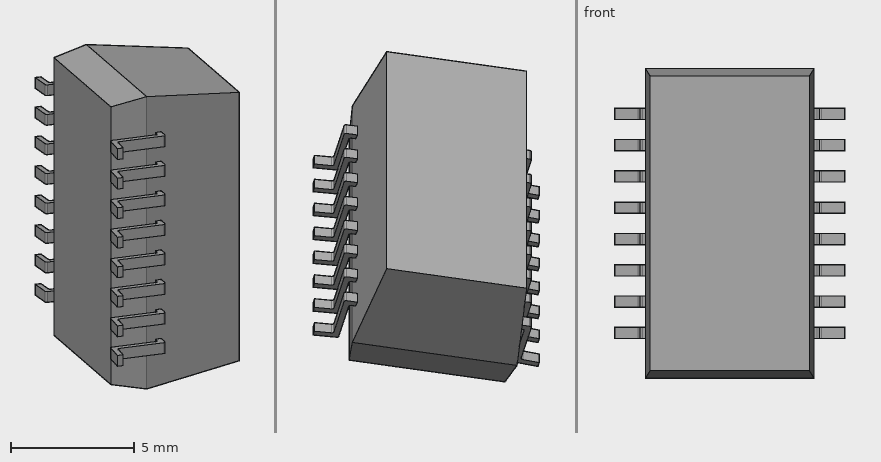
import cadquery as cq
import math

BODY_HEIGHT = 12.58
BELLY_WIDTH = 6.84
BACK_Y = 5.98
BELLY_Y = 1.75
FRONT_Y = 0.26
BACK_INSET = 0.52
FRONT_INSET_X = 0.19
FRONT_INSET_Z = 0.31

LEADS_PER_SIDE = 8
LEAD_PITCH = 1.27
LEAD_WIDTH = 0.47
LEAD_THICKNESS = 0.25
LEAD_SPAN = 9.33
LEG_OUTER_X = 3.89
SHOULDER_Y = 2.4
SHOULDER_EMBED = 0.38
FOOT_TILT = 4.0
BEND_RADIUS = 0.09


def frustum(y_belly, y_end, inset_x, inset_z):
    """Taper from the belly rectangle to a smaller rectangle at y_end."""
    depth = y_end - y_belly
    return (
        cq.Workplane("XZ", origin=(0, y_belly, 0))
        .rect(BELLY_WIDTH, BODY_HEIGHT)
        .workplane(offset=-depth)
        .rect(BELLY_WIDTH - 2 * inset_x, BODY_HEIGHT - 2 * inset_z)
        .loft(ruled=True)
    )


def right_lead():
    """Lead on the +X side, centred on Z = 0: shoulder, leg and tilted foot."""
    toe_x = LEAD_SPAN / 2
    leg_inner_x = LEG_OUTER_X - LEAD_THICKNESS
    shoulder_start_x = BELLY_WIDTH / 2 - SHOULDER_EMBED
    shoulder_under_y = SHOULDER_Y - LEAD_THICKNESS
    foot_slope = math.tan(math.radians(FOOT_TILT))
    heel_y = (toe_x - leg_inner_x) * foot_slope
    instep_y = LEAD_THICKNESS + (toe_x - LEG_OUTER_X) * foot_slope

    outline = [
        (shoulder_start_x, SHOULDER_Y),
        (LEG_OUTER_X, SHOULDER_Y),
        (LEG_OUTER_X, instep_y),
        (toe_x, LEAD_THICKNESS),
        (toe_x, 0),
        (leg_inner_x, heel_y),
        (leg_inner_x, shoulder_under_y),
        (shoulder_start_x, shoulder_under_y),
    ]
    lead = cq.Workplane("XY").polyline(outline).close().extrude(LEAD_WIDTH / 2, both=True)

    bends = [
        (LEG_OUTER_X, SHOULDER_Y, 0),
        (leg_inner_x, shoulder_under_y, 0),
        (LEG_OUTER_X, instep_y, 0),
        (leg_inner_x, heel_y, 0),
    ]
    for bend in bends:
        lead = lead.edges(cq.selectors.NearestToPointSelector(bend)).fillet(BEND_RADIUS)
    return lead


body = frustum(BELLY_Y, BACK_Y, BACK_INSET, BACK_INSET)
body = body.union(frustum(BELLY_Y, FRONT_Y, FRONT_INSET_X, FRONT_INSET_Z))

lead_right = right_lead()
lead_left = lead_right.mirror("YZ")

result = body
for index in range(LEADS_PER_SIDE):
    z = (index - (LEADS_PER_SIDE - 1) / 2) * LEAD_PITCH
    result = result.union(lead_right.translate((0, 0, z)))
    result = result.union(lead_left.translate((0, 0, z)))